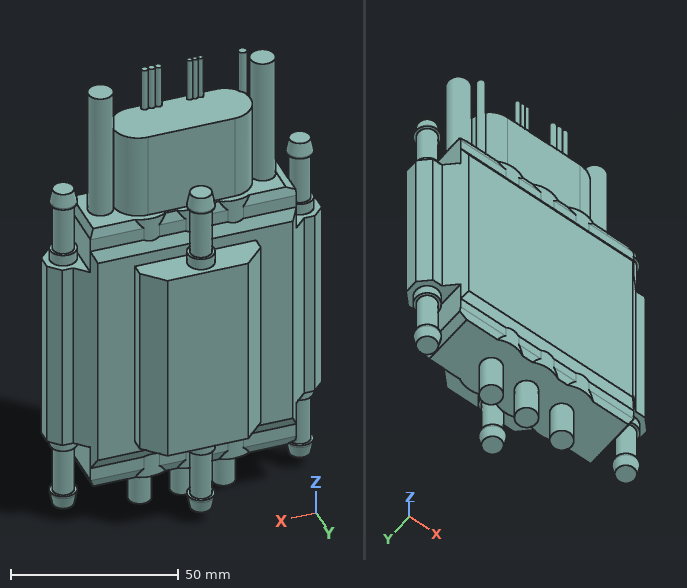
import cadquery as cq

HALF_HEIGHT = 94.0 / 2
HALF_WIDTH = 65.9 / 2
HALF_DEPTH = 11.8
FACE_HALF_WIDTH = 31.2
FACE_HALF_HEIGHT = 35.9
STRIP_HALF_DEPTH = 20.0 / 2
STRIP_INNER_Z = 39.5
STRIP_OUTER_Z = 43.9
END_HALF_DEPTH = 18.2 / 2
LEFT_BEVEL_WIDTH = 3.0
LEFT_BEVEL_HEIGHT = 1.4
RIGHT_BEVEL_WIDTH = 1.2
RIGHT_BEVEL_HEIGHT = HALF_HEIGHT - STRIP_OUTER_Z

MANIFOLD_HALF_HEIGHT = 63.8 / 2
EAR_OUTER_X = 44.0
EAR_HALF_DEPTH = 6.0
EAR_BEVEL = 3.6
EAR_INNER_X = FACE_HALF_WIDTH + HALF_DEPTH - EAR_HALF_DEPTH
BACK_HALF_WIDTH = 38.8 / 2
BACK_OUTER_Y = 22.3
BACK_BEVEL = 6.5

SIDE_BARB_X = 37.9
BACK_BARB_Y = 16.5
BARB_COLLAR_RADIUS = 4.2
BARB_COLLAR_LENGTH = 3.8
BARB_TUBE_RADIUS = 3.3
BARB_LENGTH = 25.3
BARB_LAND_START = 20.4
BARB_LAND_LENGTH = 0.6

RIB_PITCH = 13.4
RIB_RADIUS = 20.7 / 2
BOTTOM_TUBE_RADIUS = 3.6
BOTTOM_TUBE_LENGTH = 14.3

CONNECTOR_RADIUS = 16.5 / 2
CONNECTOR_HALF_FLAT = 13.9
CONNECTOR_HEIGHT = 28.4
ROD_LENGTH = 42.5
ROD_X = 26.0
ROD_RADIUS = 3.9
THIN_ROD_CENTER = (-21.5, -5.3)
THIN_ROD_RADIUS = 1.43
SMALL_WIRE_CENTER = (-6.8, -6.5)
SMALL_WIRE_RADIUS = 0.9
LARGE_WIRE_CENTER = (7.1, -6.6)
LARGE_WIRE_RADIUS = 1.13
WIRE_OVERLAP = 0.06


def vertical_cylinder(x, y, radius, z_start, z_end):
    return cq.Workplane("XY", origin=(x, y, z_start)).circle(radius).extrude(z_end - z_start)


def mirrored_outline(plane, quarter_points, half_length):
    """Prism whose outline is a quarter outline, from first axis to second, mirrored about both."""
    upper = quarter_points + [(-u, v) for u, v in reversed(quarter_points)]
    lower = [(-u, -v) for u, v in upper]
    return cq.Workplane(plane).polyline(upper + lower).close().extrude(half_length, both=True)


def make_middle():
    """Housing cross-section with an ear on each side."""
    quarter = [
        (EAR_OUTER_X, EAR_HALF_DEPTH - EAR_BEVEL),
        (EAR_OUTER_X - EAR_BEVEL, EAR_HALF_DEPTH),
        (EAR_INNER_X, EAR_HALF_DEPTH),
        (FACE_HALF_WIDTH, HALF_DEPTH),
    ]
    return mirrored_outline("XY", quarter, HALF_HEIGHT)


def make_ribs():
    ribs = cq.Workplane("XY")
    for i in (-1, 0, 1):
        ribs = ribs.union(vertical_cylinder(i * RIB_PITCH, 0, RIB_RADIUS, -HALF_HEIGHT, HALF_HEIGHT))
    return ribs


def make_housing():
    middle = make_middle()
    manifold_zone = cq.Workplane("XY").box(2 * EAR_OUTER_X, 2 * HALF_DEPTH, 2 * MANIFOLD_HALF_HEIGHT)

    upper_side = [
        (HALF_DEPTH, FACE_HALF_HEIGHT),
        (STRIP_HALF_DEPTH, STRIP_INNER_Z),
        (STRIP_HALF_DEPTH, STRIP_OUTER_Z),
        (END_HALF_DEPTH, HALF_HEIGHT),
    ]
    side_prism = mirrored_outline("YZ", upper_side, HALF_WIDTH)

    upper_front = [
        (HALF_WIDTH, HALF_HEIGHT - RIGHT_BEVEL_HEIGHT),
        (HALF_WIDTH - RIGHT_BEVEL_WIDTH, HALF_HEIGHT),
        (-HALF_WIDTH + LEFT_BEVEL_WIDTH, HALF_HEIGHT),
        (-HALF_WIDTH, HALF_HEIGHT - LEFT_BEVEL_HEIGHT),
    ]
    lower_front = [(x, -z) for x, z in reversed(upper_front)]
    front_prism = (
        cq.Workplane("XZ").polyline(upper_front + lower_front).close().extrude(HALF_DEPTH, both=True)
    )

    core = middle.intersect(side_prism).intersect(front_prism)
    return core.union(middle.intersect(manifold_zone)).union(make_ribs())


def make_back_manifold():
    outline = [
        (-BACK_HALF_WIDTH, 0),
        (BACK_HALF_WIDTH, 0),
        (BACK_HALF_WIDTH, BACK_OUTER_Y - BACK_BEVEL),
        (BACK_HALF_WIDTH - BACK_BEVEL, BACK_OUTER_Y),
        (BACK_BEVEL - BACK_HALF_WIDTH, BACK_OUTER_Y),
        (-BACK_HALF_WIDTH, BACK_OUTER_Y - BACK_BEVEL),
    ]
    return cq.Workplane("XY").polyline(outline).close().extrude(MANIFOLD_HALF_HEIGHT, both=True)


def make_barb_pair(x, y):
    """Hose barbs pointing up and down from a manifold."""
    base = MANIFOLD_HALF_HEIGHT
    half_profile = [
        (0, 0),
        (BARB_COLLAR_RADIUS, 0),
        (BARB_COLLAR_RADIUS, base + BARB_COLLAR_LENGTH),
        (BARB_TUBE_RADIUS, base + BARB_COLLAR_LENGTH),
        (BARB_TUBE_RADIUS, base + BARB_LAND_START),
        (BARB_COLLAR_RADIUS, base + BARB_LAND_START),
        (BARB_COLLAR_RADIUS, base + BARB_LAND_START + BARB_LAND_LENGTH),
        (BARB_TUBE_RADIUS, base + BARB_LENGTH),
        (0, base + BARB_LENGTH),
    ]
    upper = cq.Workplane("XZ").polyline(half_profile).close().revolve(360, (0, 0), (0, 1))
    return upper.union(upper.mirror("XY")).translate((x, y, 0))


def make_connector():
    return (
        cq.Workplane("XY")
        .slot2D(2 * (CONNECTOR_HALF_FLAT + CONNECTOR_RADIUS), 2 * CONNECTOR_RADIUS)
        .extrude(HALF_HEIGHT + CONNECTOR_HEIGHT)
    )


def make_top_rod(x, y, radius):
    return vertical_cylinder(x, y, radius, 0, HALF_HEIGHT + ROD_LENGTH)


def make_wire_group(center, radius):
    pitch = 2 * radius - WIRE_OVERLAP
    wires = cq.Workplane("XY")
    for i in (-1, 0, 1):
        wires = wires.union(make_top_rod(center[0] + i * pitch, center[1], radius))
    return wires


result = make_housing().union(make_back_manifold()).union(make_connector())

for barb_x, barb_y in ((-SIDE_BARB_X, 0), (SIDE_BARB_X, 0), (0, BACK_BARB_Y)):
    result = result.union(make_barb_pair(barb_x, barb_y))

for rod_x in (-ROD_X, ROD_X):
    result = result.union(make_top_rod(rod_x, 0, ROD_RADIUS))
result = result.union(make_top_rod(*THIN_ROD_CENTER, THIN_ROD_RADIUS))
result = result.union(make_wire_group(SMALL_WIRE_CENTER, SMALL_WIRE_RADIUS))
result = result.union(make_wire_group(LARGE_WIRE_CENTER, LARGE_WIRE_RADIUS))

bottom_tube_end_z = -HALF_HEIGHT - BOTTOM_TUBE_LENGTH
for i in (-1, 0, 1):
    result = result.union(vertical_cylinder(i * RIB_PITCH, 0, BOTTOM_TUBE_RADIUS, bottom_tube_end_z, 0))